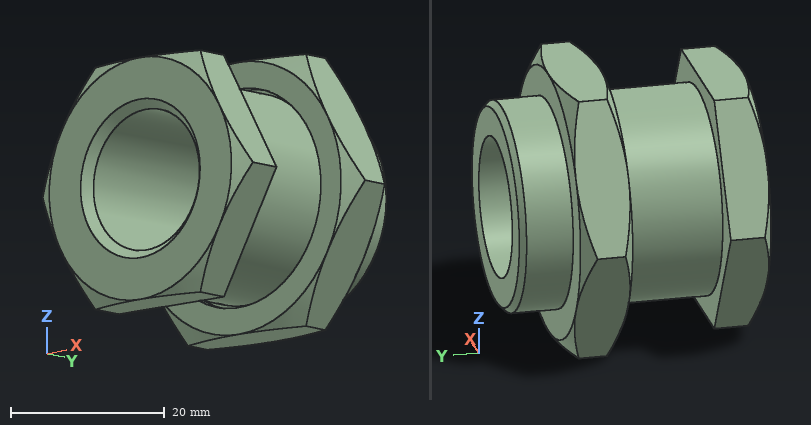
import cadquery as cq
import math

total_length = 33.0
shank_diameter = 27.95
shank_end_chamfer = 0.8

head_across_flats = 32.0
head_thickness = 6.0

bore_diameter = 18.62
bore_mouth_diameter = 21.0
bore_chamfer = (bore_mouth_diameter - bore_diameter) / 2

nut_across_flats = 36.0
nut_thickness = 7.0
nut_start = 19.0
nut_recess_diameter = 28.95
nut_recess_depth = 1.5

corner_chamfer_angle = 30
corners_per_hexagon = 6


def cylinder(diameter, start, length):
    """Cylinder on the Y axis running from start towards +Y."""
    plane = cq.Workplane("XZ", origin=(0, start, 0))
    return plane.circle(diameter / 2).extrude(-length)


def corner_cone(across_flats, start, thickness, chamfer_back):
    """Envelope whose conical ends trim the hexagon's corners down to the flats."""
    inner_radius = across_flats / 2
    outer_radius = inner_radius / math.cos(math.pi / corners_per_hexagon)
    envelope_radius = outer_radius + 0.4
    cone_depth = (envelope_radius - inner_radius) * math.tan(math.radians(corner_chamfer_angle))
    end = start + thickness
    profile = cq.Workplane("XY").moveTo(0, start).lineTo(inner_radius, start)
    profile = profile.lineTo(envelope_radius, start + cone_depth)
    if chamfer_back:
        profile = profile.lineTo(envelope_radius, end - cone_depth).lineTo(inner_radius, end)
    else:
        profile = profile.lineTo(envelope_radius, end)
    return profile.lineTo(0, end).close().revolve(360, (0, 0, 0), (0, 1, 0))


def hexagon(across_flats, start, thickness, chamfer_back):
    """Hexagonal prism with corners on the X axis and chamfered corners."""
    across_corners = across_flats / math.cos(math.pi / corners_per_hexagon)
    plane = cq.Workplane("XZ", origin=(0, start, 0))
    prism = plane.polygon(corners_per_hexagon, across_corners).extrude(-thickness)
    return prism.intersect(corner_cone(across_flats, start, thickness, chamfer_back))


def make_fitting():
    """Hexagon-headed hollow shank, chamfered at the bore mouth and at the far end."""
    shank = cylinder(shank_diameter, 0, total_length).faces(">Y").edges().chamfer(shank_end_chamfer)
    head = hexagon(head_across_flats, 0, head_thickness, chamfer_back=False)
    bore = cylinder(bore_diameter, 0, total_length)
    body = head.union(shank).cut(bore)
    return body.faces("<Y").edges(cq.selectors.RadiusNthSelector(0)).chamfer(bore_chamfer)


def make_nut():
    """Hexagon nut seated on the shank, with a shallow round recess on the side facing the head."""
    blank = hexagon(nut_across_flats, nut_start, nut_thickness, chamfer_back=True)
    ring = blank.cut(cylinder(shank_diameter, nut_start, nut_thickness))
    return ring.cut(cylinder(nut_recess_diameter, nut_start, nut_recess_depth))


fitting = make_fitting()
nut = make_nut()

result = cq.Compound.makeCompound([fitting.val(), nut.val()])